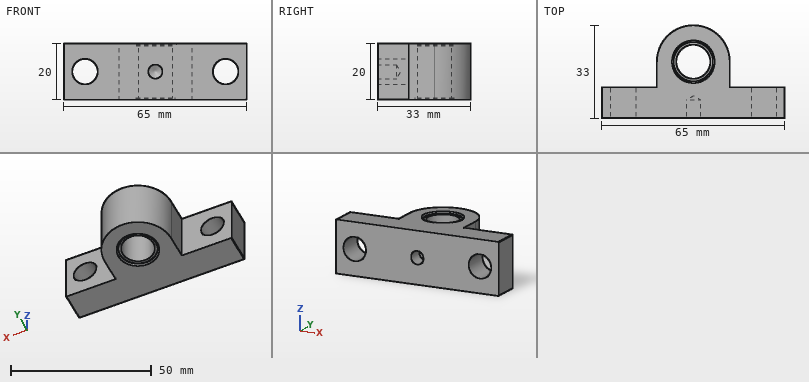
import cadquery as cq
import math

length = 65.0
height = 20.0
bar_depth = 11.0
end_chamfer = 0.2

lug_radius = 13.0
total_depth = 33.0
bore_y = total_depth - lug_radius

bore_diameter = 12.0
recess_diameter = 14.0
recess_depth = 0.8
rim_diameter = 15.2
rim_depth = 0.5

mount_diameter = 9.0
mount_spacing = 50.0
center_diameter = 5.0
center_depth = 6.5
drill_point_angle = 118.0
drill_tip_depth = center_diameter / 2 / math.tan(math.radians(drill_point_angle / 2))


def make_body():
    bar = cq.Workplane("XY").box(length, bar_depth, height, centered=(True, False, False))
    bar = bar.edges("|Y").chamfer(end_chamfer)
    lug_block = cq.Workplane("XY").box(
        2 * lug_radius, bore_y, height, centered=(True, False, False)
    )
    lug_round = cq.Workplane("XY").center(0, bore_y).circle(lug_radius).extrude(height)
    return bar.union(lug_block).union(lug_round)


def make_bore():
    """Revolve the half profile of the bore about its vertical axis."""
    bore_radius = bore_diameter / 2
    recess_radius = recess_diameter / 2
    rim_radius = rim_diameter / 2
    profile = [
        (0, 0),
        (rim_radius, 0),
        (recess_radius, rim_depth),
        (recess_radius, recess_depth),
        (bore_radius, recess_depth),
        (bore_radius, height - recess_depth),
        (recess_radius, height - recess_depth),
        (recess_radius, height - rim_depth),
        (rim_radius, height),
        (0, height),
    ]
    bore = cq.Workplane("XZ").polyline(profile).close().revolve(360, (0, 0), (0, 1))
    return bore.translate((0, bore_y, 0))


def make_mount_holes():
    return (
        cq.Workplane("XZ")
        .pushPoints([(-mount_spacing / 2, height / 2), (mount_spacing / 2, height / 2)])
        .circle(mount_diameter / 2)
        .extrude(-bar_depth)
    )


def make_center_hole():
    """Blind drilled hole with a conical bottom."""
    radius = center_diameter / 2
    profile = [(0, 0), (radius, 0), (radius, center_depth), (0, center_depth + drill_tip_depth)]
    hole = cq.Workplane("XY").polyline(profile).close().revolve(360, (0, 0), (0, 1))
    return hole.translate((0, 0, height / 2))


result = make_body().cut(make_bore()).cut(make_mount_holes()).cut(make_center_hole())